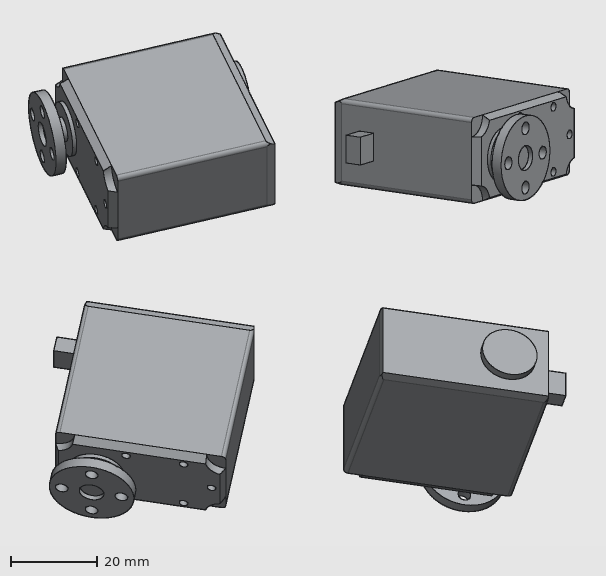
import cadquery as cq


case_width = 40.2
case_depth = 40.75
case_height = 20.45
case_left = -10.05
case_center_x = case_left + case_width / 2
edge_radius = 1.05
bevel_depth = 2.05
front_bevel_inset = 1.05
back_bevel_inset_x = 0.35
back_bevel_inset_top = 1.05
back_bevel_inset_bottom = 0.45
scallop_radius = 4.5

horn_diameter = 20.0
horn_thickness = 2.55
horn_hole_diameter = 3.0
horn_hole_offset = 7.05
boss_diameter = 13.0
front_boss_length = 1.0
back_boss_length = 1.9
shaft_diameter = 5.8
shaft_gap = 2.75
shaft_recess = 1.15
horn_front = -(front_boss_length + shaft_gap + horn_thickness)

mount_hole_diameter = 2.0
mount_hole_depth = 3.9
mount_columns = (7.0, 20.6)
mount_row_offset = 7.75
side_mount_x = 27.2

connector_length = 5.5
connector_depth = 4.0
connector_height = 6.6
connector_front = 29.65


def cylinder(x, z, diameter, y_start, y_end):
    """Cylinder along Y between two Y positions."""
    base = cq.Workplane("XZ", origin=(x, y_start, z))
    return base.circle(diameter / 2).extrude(y_start - y_end)


def tapered_end(y_base, y_face, inset_x, inset_top, inset_bottom):
    """Frustum from the full case outline to a smaller end face."""
    base = cq.Workplane("XZ", origin=(case_center_x, y_base, 0))
    return (
        base.rect(case_width, case_height)
        .workplane(offset=y_base - y_face)
        .center(0, (inset_bottom - inset_top) / 2)
        .rect(case_width - 2 * inset_x, case_height - inset_top - inset_bottom)
        .loft(ruled=True)
    )


def make_case():
    """Rounded block with bevelled ends and scalloped front corners."""
    back_bevel_start = case_depth - bevel_depth
    block = (
        cq.Workplane("XZ", origin=(case_center_x, 0, 0))
        .rect(case_width, case_height)
        .extrude(-case_depth)
        .edges("|Y")
        .fillet(edge_radius)
    )
    middle = (
        cq.Workplane("XZ", origin=(case_center_x, bevel_depth, 0))
        .rect(case_width, case_height)
        .extrude(bevel_depth - back_bevel_start)
    )
    front = tapered_end(bevel_depth, 0, front_bevel_inset, front_bevel_inset, front_bevel_inset)
    back = tapered_end(
        back_bevel_start,
        case_depth,
        back_bevel_inset_x,
        back_bevel_inset_top,
        back_bevel_inset_bottom,
    )
    case = block.intersect(middle.union(front).union(back))
    for x in (case_left, case_left + case_width):
        for z in (-case_height / 2, case_height / 2):
            case = case.cut(cylinder(x, z, 2 * scallop_radius, 0, bevel_depth))
    return case


def make_horn():
    """Output disc with four holes and a recess in front of the shaft end."""
    horn = cylinder(0, 0, horn_diameter, horn_front, horn_front + horn_thickness)
    horn = horn.cut(cylinder(0, 0, shaft_diameter, horn_front, horn_front + shaft_recess))
    for x, z in ((1, 0), (0, 1), (-1, 0), (0, -1)):
        hole = cylinder(
            x * horn_hole_offset,
            z * horn_hole_offset,
            horn_hole_diameter,
            horn_front,
            horn_front + horn_thickness,
        )
        horn = horn.cut(hole)
    return horn


def cut_mounting_holes(body):
    """Blind holes in the front face: two columns and one at the far side."""
    positions = [(x, z) for x in mount_columns for z in (-mount_row_offset, mount_row_offset)]
    positions.append((side_mount_x, 0))
    for x, z in positions:
        body = body.cut(cylinder(x, z, mount_hole_diameter, 0, mount_hole_depth))
    return body


case = cut_mounting_holes(make_case())
front_boss = cylinder(0, 0, boss_diameter, -front_boss_length, 0)
back_boss = cylinder(0, 0, boss_diameter, case_depth, case_depth + back_boss_length)
shaft = cylinder(0, 0, shaft_diameter, horn_front + shaft_recess, 0)
connector = cq.Workplane("XY").box(
    connector_length, connector_depth, connector_height, centered=(False, False, True)
).translate((case_left - connector_length, connector_front, 0))

result = case.union(front_boss).union(back_boss).union(shaft).union(make_horn()).union(connector)